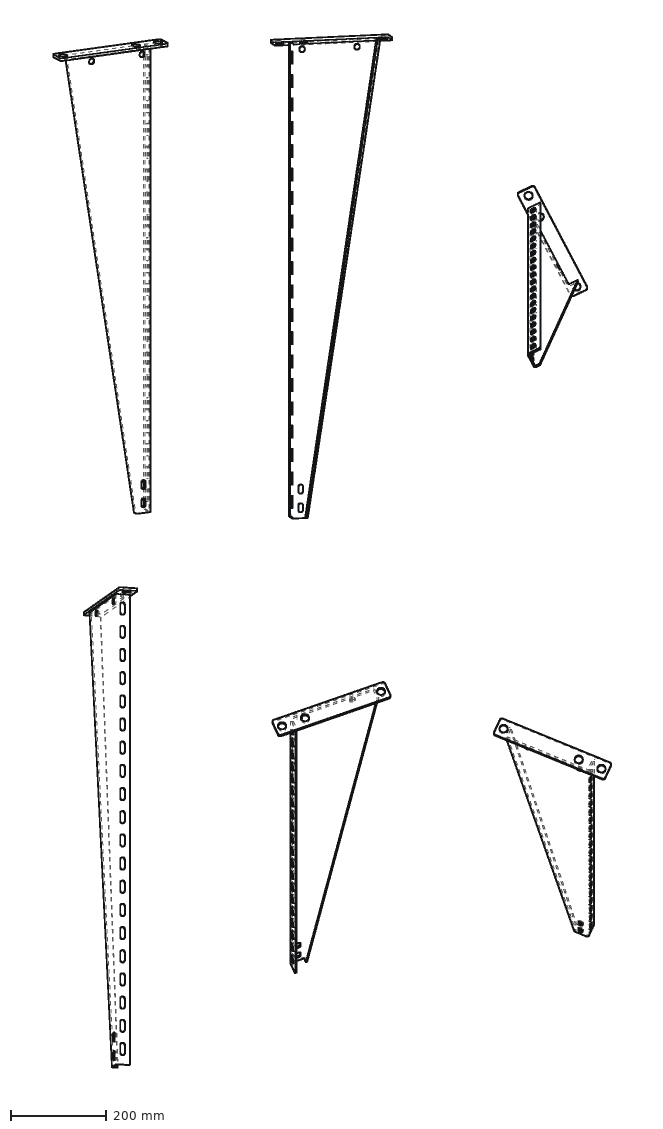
import cadquery as cq
import math

TOTAL_HEIGHT = 1020.0
PLATE_WIDTH = 40.0
PLATE_LENGTH = 255.0
PLATE_THICKNESS = 6.0
PLATE_CORNER_RADIUS = 5.0
PLATE_HOLE_DIAMETER = 17.0
PLATE_HOLE_Y = (-112.0, 60.0, 112.0)

ARM_HEIGHT = TOTAL_HEIGHT - PLATE_THICKNESS
ARM_DEPTH = 31.0
ARM_BACK_Y = 89.0
ARM_TOP_WIDTH = 192.0
ARM_BOTTOM_WIDTH = 35.0
SHEET = 3.6
INNER_BEND_RADIUS = 1.0
OUTER_BEND_RADIUS = INNER_BEND_RADIUS + SHEET
OPEN_X = -ARM_DEPTH / 2
WEB_X = ARM_DEPTH / 2
BACK_CORNER_RADIUS = 3.0

FRONT_FLANGE_TOP_DEPTH = 24.0
FRONT_FLANGE_BOTTOM_DEPTH = 13.0

BACK_SLOT_COUNT = 20
BACK_SLOT_PITCH = 50.0
BACK_SLOT_FIRST_Z = 34.0
BACK_SLOT_WIDTH = 10.0
BACK_SLOT_LENGTH = 27.0
BACK_SLOT_X = 1.0

WEB_SLOT_Y = 70.0
WEB_SLOT_Z = (22.0, 62.0)
WEB_SLOT_WIDTH = 10.0
WEB_SLOT_LENGTH = 19.0
WEB_HOLE_DIAMETER = 12.0
WEB_HOLE_Y = (-52.0, 67.0)
WEB_HOLE_Z = 1003.0


def make_plate():
    plate = cq.Workplane("XY").box(
        PLATE_WIDTH, PLATE_LENGTH, PLATE_THICKNESS, centered=(True, True, False)
    )
    plate = plate.edges("|Z").fillet(PLATE_CORNER_RADIUS)
    holes = (
        cq.Workplane("XY")
        .pushPoints([(0, y) for y in PLATE_HOLE_Y])
        .circle(PLATE_HOLE_DIAMETER / 2)
        .extrude(PLATE_THICKNESS)
    )
    return plate.cut(holes).translate((0, 0, ARM_HEIGHT))


def tapered_block(inset, depth, bend_radius):
    """Tapered prism from the open side, set in from both flange faces, with its web edges rounded."""
    slope_length = math.hypot(ARM_HEIGHT, ARM_TOP_WIDTH - ARM_BOTTOM_WIDTH)
    front_inset = inset * slope_length / ARM_HEIGHT
    back_y = ARM_BACK_Y - inset
    front_bottom_y = ARM_BACK_Y - ARM_BOTTOM_WIDTH + front_inset
    front_top_y = ARM_BACK_Y - ARM_TOP_WIDTH + front_inset
    outline = [(back_y, 0), (back_y, ARM_HEIGHT), (front_top_y, ARM_HEIGHT), (front_bottom_y, 0)]
    block = cq.Workplane("YZ", origin=(OPEN_X, 0, 0)).polyline(outline).close().extrude(depth)
    return block.faces(">X").edges("not |Y").fillet(bend_radius)


def front_flange_trim():
    """Wedge that cuts the front flange back from the open side, leaving the back flange whole."""
    top_x = WEB_X - FRONT_FLANGE_TOP_DEPTH
    bottom_x = WEB_X - FRONT_FLANGE_BOTTOM_DEPTH
    outline = [(OPEN_X, 0), (bottom_x, 0), (top_x, ARM_HEIGHT), (OPEN_X, ARM_HEIGHT)]
    back_inner_y = ARM_BACK_Y - SHEET
    return cq.Workplane("XZ", origin=(0, back_inner_y, 0)).polyline(outline).close().extrude(ARM_TOP_WIDTH)


def back_slots():
    centres = [(BACK_SLOT_X, BACK_SLOT_FIRST_Z + i * BACK_SLOT_PITCH) for i in range(BACK_SLOT_COUNT)]
    return (
        cq.Workplane("XZ", origin=(0, ARM_BACK_Y, 0))
        .pushPoints(centres)
        .slot2D(BACK_SLOT_LENGTH, BACK_SLOT_WIDTH, 90)
        .extrude(SHEET)
    )


def web_openings():
    web_plane = cq.Workplane("YZ", origin=(WEB_X - SHEET, 0, 0))
    slots = (
        web_plane.pushPoints([(WEB_SLOT_Y, z) for z in WEB_SLOT_Z])
        .slot2D(WEB_SLOT_LENGTH, WEB_SLOT_WIDTH, 90)
        .extrude(SHEET)
    )
    holes = (
        web_plane.pushPoints([(y, WEB_HOLE_Z) for y in WEB_HOLE_Y])
        .circle(WEB_HOLE_DIAMETER / 2)
        .extrude(SHEET)
    )
    return slots.union(holes)


def make_arm():
    outside = tapered_block(0, ARM_DEPTH, OUTER_BEND_RADIUS)
    inside = tapered_block(SHEET, ARM_DEPTH - SHEET, INNER_BEND_RADIUS)
    channel = outside.cut(inside).cut(front_flange_trim())
    channel = channel.edges("|Y and <X and <Z").fillet(BACK_CORNER_RADIUS)
    return channel.cut(back_slots()).cut(web_openings())


plate = make_plate()
arm = make_arm()

result = cq.Compound.makeCompound([plate.val(), arm.val()])